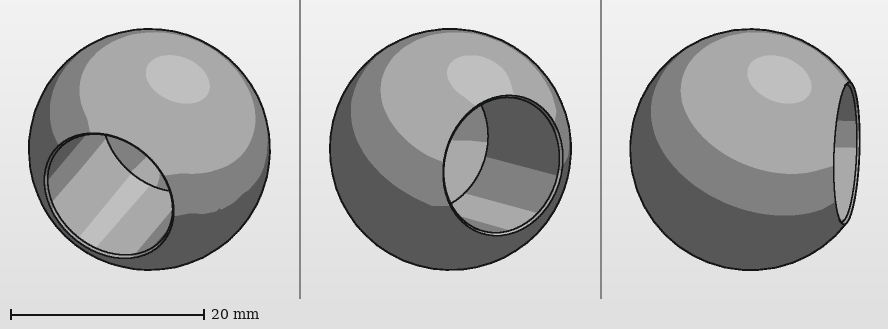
import cadquery as cq
import math

ball_diameter = 25.0
ball_radius = ball_diameter / 2

flat_distance = 10.1
mouth_radius = math.sqrt(ball_radius**2 - flat_distance**2)

bore_diameter = 14.2
bore_radius = bore_diameter / 2
bore_depth = 14.0
drill_point_angle = 118.0
cone_height = bore_radius / math.tan(math.radians(drill_point_angle / 2))

chamfer_size = mouth_radius - bore_radius

rim_y = -flat_distance
chamfer_end_y = rim_y + chamfer_size
wall_end_y = rim_y + bore_depth
cone_tip_y = wall_end_y + cone_height

half_profile = (
    cq.Workplane("XY")
    .moveTo(0, cone_tip_y)
    .lineTo(bore_radius, wall_end_y)
    .lineTo(bore_radius, chamfer_end_y)
    .lineTo(mouth_radius, rim_y)
    .threePointArc((ball_radius, 0), (0, ball_radius))
    .close()
)

result = half_profile.revolve(360, (0, 0, 0), (0, 1, 0))